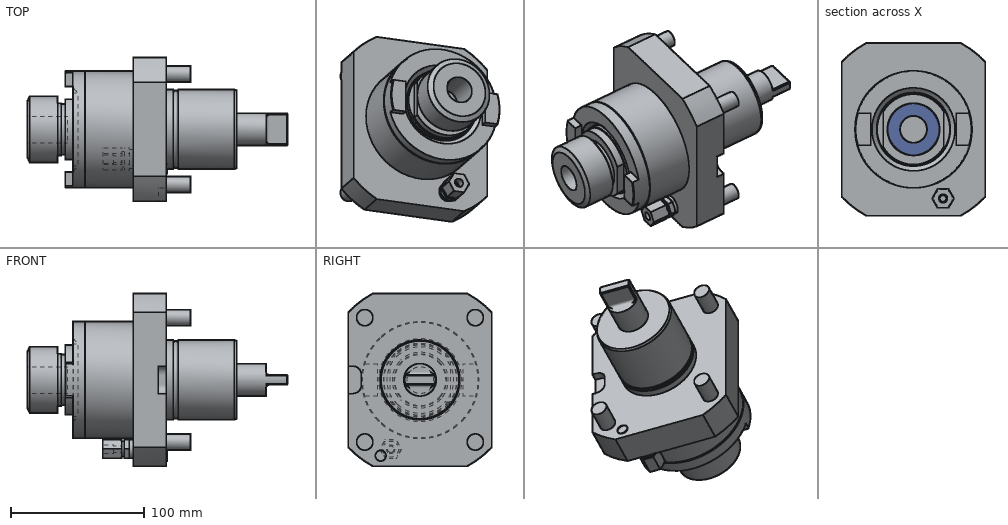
import cadquery as cq
import math


PLATE_THICKNESS = 25.0
PLATE_WIDTH = 108.0
PLATE_HEIGHT = 130.0
PLATE_CORNER_RADIUS = 74.0

SLOT_LENGTH = 20.6
SLOT_DEPTH_X = 6.2
SLOT_DEPTH_Y = 10.0
SLOT_CORNER_RADIUS = 6.5

HOUSING_RADIUS = 44.0
CAP_FACE_X = -70.2
CAP_REAR_X = -60.8
EDGE_CHAMFER = 0.6
LUG_FACE_X = -76.1
LUG_WIDTH = 24.0
LUG_INNER_Y = 32.0
RECESS_MOUTH_RADIUS = 31.2
RECESS_FLOOR_RADIUS = 27.7

NOSE_FACE_X = -104.5
NOSE_RADIUS = 25.0
NOSE_FACE_RADIUS = 21.0
NOSE_CHAMFER_LENGTH = 1.9
NOSE_REAR_X = -81.7
NECK_RADIUS = 19.7
NECK_STEP_X = -79.0
NECK_REAR_RADIUS = 19.2
COLLAR_RADIUS = 26.4
COLLAR_ACROSS_FLATS = 45.5
SHOULDER_FACE_X = -69.9
SHOULDER_RADIUS = 27.3
BORE_RADIUS = 10.0
BORE_DEPTH = 30.0

SHANK_RADIUS = 30.0
SHANK_END_X = 53.0
SHANK_CHAMFER_LENGTH = 1.9
SHANK_CHAMFER_DEPTH = 0.8
GROOVE_START_X = 5.3
GROOVE_WIDTH = 3.5
RING_RECESS = 0.6

SHAFT_RADIUS = 12.2
SHAFT_END_X = 75.0
TANG_END_X = 91.16
TANG_THICKNESS = 7.6
TANG_ROOT_FILLET = 2.0
TANG_CHAMFER = 0.8

PIN_RADIUS = 6.1
PIN_LENGTH = 18.2
PIN_Y = 41.5
PIN_Z = 46.7

FITTING_Y = -22.2
FITTING_Z = -51.9
FITTING_ACROSS_FLATS = 14.2
FITTING_FACE_X = -47.8
FITTING_NUT_LENGTH = 14.2
FITTING_NECK_LENGTH = 1.8
FITTING_NECK_RADIUS = 5.9
FITTING_HEX_LENGTH = 4.1
FITTING_BORE_RADIUS = 3.2
FITTING_BORE_DEPTH = 8.0
FITTING_PASSAGE_RADIUS = 2.4
FITTING_PASSAGE_DEPTH = 14.0

PLUG_RADIUS = 4.0
PLUG_HEIGHT = 0.6
PLUG_Y = -29.5
PLUG_Z = -57.0


def cylinder(start_x, end_x, radius, y=0.0, z=0.0):
    """Solid cylinder parallel to X."""
    return cq.Workplane("YZ", origin=(start_x, y, z)).circle(radius).extrude(end_x - start_x)


def revolved(profile):
    """Revolve a closed (x, radius) outline about the X axis."""
    return cq.Workplane("XY").polyline(profile).close().revolve(360, (0, 0, 0), (1, 0, 0))


def flange_plate():
    block = cq.Workplane("XY").box(PLATE_THICKNESS, PLATE_WIDTH, PLATE_HEIGHT)
    block = block.translate((-PLATE_THICKNESS / 2, 0, 0))
    plate = block.intersect(cylinder(-PLATE_THICKNESS, 0, PLATE_CORNER_RADIUS))
    slot = cq.Workplane("XY").box(SLOT_DEPTH_X, 2 * SLOT_DEPTH_Y, SLOT_LENGTH)
    slot = slot.edges("|X").fillet(SLOT_CORNER_RADIUS)
    return plate.cut(slot.translate((-SLOT_DEPTH_X / 2, -PLATE_WIDTH / 2, 0)))


def housing():
    body = cylinder(CAP_REAR_X, -PLATE_THICKNESS, HOUSING_RADIUS)
    cap = cylinder(LUG_FACE_X, CAP_REAR_X, HOUSING_RADIUS).edges().chamfer(EDGE_CHAMFER)
    lug_height = CAP_FACE_X - LUG_FACE_X
    lug_length = HOUSING_RADIUS - LUG_INNER_Y
    lug_zone = cylinder(LUG_FACE_X, CAP_FACE_X, 2 * HOUSING_RADIUS)
    for side in (-1, 1):
        lug = cq.Workplane("XY").box(lug_height, lug_length, LUG_WIDTH)
        lug_y = side * (LUG_INNER_Y + lug_length / 2)
        lug_zone = lug_zone.cut(lug.translate((LUG_FACE_X + lug_height / 2, lug_y, 0)))
    recess_floor_x = CAP_FACE_X + RECESS_MOUTH_RADIUS - RECESS_FLOOR_RADIUS
    recess = revolved([
        (CAP_FACE_X, 0),
        (CAP_FACE_X, RECESS_MOUTH_RADIUS),
        (recess_floor_x, RECESS_FLOOR_RADIUS),
        (recess_floor_x, 0),
    ])
    return body.union(cap.cut(lug_zone)).cut(recess)


def spindle_nose():
    nose = revolved([
        (NOSE_FACE_X, 0),
        (NOSE_FACE_X, NOSE_FACE_RADIUS),
        (NOSE_FACE_X + NOSE_CHAMFER_LENGTH, NOSE_RADIUS),
        (NOSE_REAR_X, NOSE_RADIUS),
        (NOSE_REAR_X, NECK_RADIUS),
        (NECK_STEP_X, NECK_RADIUS),
        (NECK_STEP_X, NECK_REAR_RADIUS),
        (LUG_FACE_X, NECK_REAR_RADIUS),
        (LUG_FACE_X, 0),
    ])
    collar = cylinder(LUG_FACE_X, CAP_REAR_X, COLLAR_RADIUS)
    flats = cq.Workplane("XY").box(
        4 * COLLAR_RADIUS, COLLAR_ACROSS_FLATS, 2 * COLLAR_RADIUS
    ).translate((LUG_FACE_X, 0, 0))
    shoulder = cylinder(SHOULDER_FACE_X, CAP_REAR_X, SHOULDER_RADIUS)
    bore = cylinder(NOSE_FACE_X, NOSE_FACE_X + BORE_DEPTH, BORE_RADIUS)
    return nose.union(collar.intersect(flats)).union(shoulder).cut(bore)


def shank():
    body = revolved([
        (-PLATE_THICKNESS, 0),
        (-PLATE_THICKNESS, SHANK_RADIUS),
        (SHANK_END_X - SHANK_CHAMFER_LENGTH, SHANK_RADIUS),
        (SHANK_END_X, SHANK_RADIUS - SHANK_CHAMFER_DEPTH),
        (SHANK_END_X, 0),
    ])
    groove_end_x = GROOVE_START_X + GROOVE_WIDTH
    crown_x = GROOVE_START_X + GROOVE_WIDTH / 2
    crown_radius = SHANK_RADIUS - RING_RECESS
    ring_centre_radius = crown_radius - GROOVE_WIDTH / 2
    groove = (
        cq.Workplane("XY")
        .moveTo(GROOVE_START_X, SHANK_RADIUS)
        .lineTo(GROOVE_START_X, ring_centre_radius)
        .threePointArc((crown_x, crown_radius), (groove_end_x, ring_centre_radius))
        .lineTo(groove_end_x, SHANK_RADIUS)
        .close()
        .revolve(360, (0, 0, 0), (1, 0, 0))
    )
    return body.cut(groove)


def drive_shaft():
    shaft = cylinder(0, TANG_END_X, SHAFT_RADIUS)
    half = TANG_THICKNESS / 2
    relief_length = TANG_END_X - SHAFT_END_X
    relief_x = SHAFT_END_X + relief_length / 2
    for side in (-1, 1):
        relief = cq.Workplane("XY").box(relief_length, 2 * SHAFT_RADIUS, SHAFT_RADIUS)
        shaft = shaft.cut(relief.translate((relief_x, 0, side * (half + SHAFT_RADIUS / 2))))
    flat_edges = shaft.faces("|Z").edges("|X")
    shaft = flat_edges.add(shaft.faces(">X").edges()).chamfer(TANG_CHAMFER)
    root_edges = shaft.faces("|Z").edges("<X")
    return root_edges.fillet(TANG_ROOT_FILLET)


def mounting_pins():
    pins = cq.Workplane("XY")
    for y in (-PIN_Y, PIN_Y):
        for z in (-PIN_Z, PIN_Z):
            pins = pins.add(cylinder(-PLATE_THICKNESS / 2, PIN_LENGTH, PIN_RADIUS, y, z))
    return pins.combine()


def fitting_hexagon(start_x, length):
    across_corners = FITTING_ACROSS_FLATS / math.cos(math.radians(30))
    hexagon = cq.Workplane("YZ", origin=(start_x, FITTING_Y, FITTING_Z))
    return hexagon.polygon(6, across_corners).extrude(length)


def coolant_fitting():
    nut_end_x = FITTING_FACE_X + FITTING_NUT_LENGTH
    hex_start_x = nut_end_x + FITTING_NECK_LENGTH
    hex_end_x = hex_start_x + FITTING_HEX_LENGTH

    def turned(start_x, end_x, radius):
        return cylinder(start_x, end_x, radius, FITTING_Y, FITTING_Z)

    fitting = fitting_hexagon(FITTING_FACE_X, FITTING_NUT_LENGTH)
    fitting = fitting.union(turned(nut_end_x, hex_start_x, FITTING_NECK_RADIUS))
    fitting = fitting.union(fitting_hexagon(hex_start_x, FITTING_HEX_LENGTH))
    fitting = fitting.union(turned(hex_end_x, -PLATE_THICKNESS, FITTING_ACROSS_FLATS / 2))
    bore_end_x = FITTING_FACE_X + FITTING_BORE_DEPTH
    passage_end_x = FITTING_FACE_X + FITTING_PASSAGE_DEPTH
    fitting = fitting.cut(turned(FITTING_FACE_X, bore_end_x, FITTING_BORE_RADIUS))
    return fitting.cut(turned(FITTING_FACE_X, passage_end_x, FITTING_PASSAGE_RADIUS))


def sealing_plug():
    return cylinder(-PLATE_THICKNESS / 2, PLUG_HEIGHT, PLUG_RADIUS, PLUG_Y, PLUG_Z)


result = flange_plate()
for component in (
    housing(),
    spindle_nose(),
    shank(),
    drive_shaft(),
    mounting_pins(),
    coolant_fitting(),
    sealing_plug(),
):
    result = result.union(component)